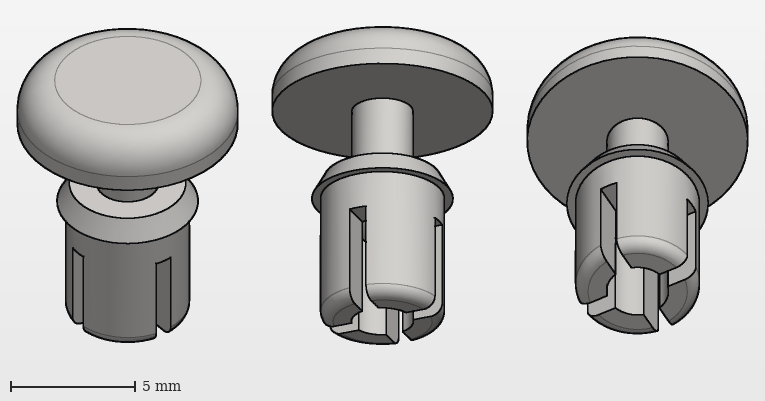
import cadquery as cq

sleeve_diameter = 5.0
sleeve_height = 5.5
bore_diameter = 2.5
tip_fillet = 0.5
slot_width = 0.72
slot_height = 4.0

collar_height = 0.9
collar_bottom_diameter = 5.7
collar_top_diameter = 4.7
housing_height = sleeve_height + collar_height

pin_diameter = 2.47
pin_exposed_length = 3.0
pin_bottom = 3.6
pin_tip_fillet = 1.0
head_diameter = 8.9
head_thickness = 2.2
head_fillet = 1.5
head_bottom = housing_height + pin_exposed_length


def make_collar():
    """Cone frustum, widest where it overhangs the sleeve."""
    return (
        cq.Workplane("XY", origin=(0, 0, sleeve_height))
        .circle(collar_bottom_diameter / 2)
        .workplane(offset=collar_height)
        .circle(collar_top_diameter / 2)
        .loft()
    )


def make_housing():
    """Sleeve and collar with a through bore and two crossing slots."""
    sleeve = (
        cq.Workplane("XY")
        .circle(sleeve_diameter / 2)
        .extrude(sleeve_height)
        .faces("<Z")
        .edges()
        .fillet(tip_fillet)
    )
    bore = cq.Workplane("XY").circle(bore_diameter / 2).extrude(housing_height)
    housing = sleeve.union(make_collar()).cut(bore)
    for angle in (0, 90):
        slot = (
            cq.Workplane("XY")
            .rect(sleeve_diameter, slot_width)
            .extrude(slot_height)
            .rotate((0, 0, 0), (0, 0, 1), angle)
        )
        housing = housing.cut(slot)
    return housing


def make_plunger():
    """Round-edged head on a straight pin with a rounded tip."""
    head = (
        cq.Workplane("XY", origin=(0, 0, head_bottom))
        .circle(head_diameter / 2)
        .extrude(head_thickness)
        .faces(">Z")
        .edges()
        .fillet(head_fillet)
    )
    pin = (
        cq.Workplane("XY", origin=(0, 0, pin_bottom))
        .circle(pin_diameter / 2)
        .extrude(head_bottom - pin_bottom)
        .faces("<Z")
        .edges()
        .fillet(pin_tip_fillet)
    )
    return head.union(pin)


housing = make_housing()
plunger = make_plunger()

result = cq.Compound.makeCompound([housing.val(), plunger.val()])